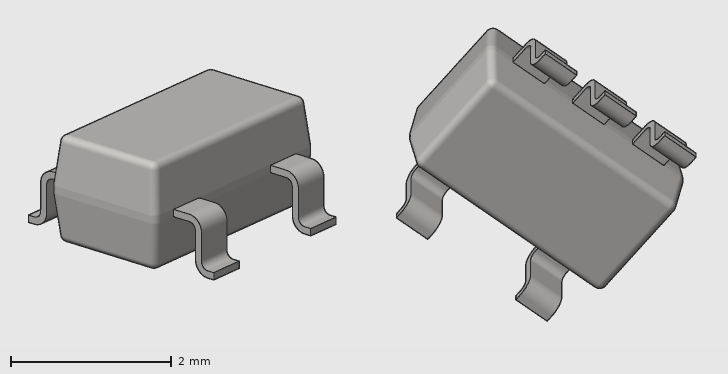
import cadquery as cq
import math

BODY_WIDTH = 1.7
BODY_LENGTH = 3.1
BODY_TOP = 1.45
BODY_BOTTOM = 0.015
DRAFT_ANGLE = 6.1
EDGE_RADIUS = 0.1

LEAD_SPAN = 3.0
LEAD_WIDTH = 0.5
LEAD_PITCH = 0.95
LEAD_THICKNESS = 0.1
FOOT_LENGTH = 0.1
BEND_INNER_RADIUS = 0.1
BEND_OUTER_RADIUS = BEND_INNER_RADIUS + LEAD_THICKNESS

BAND_HEIGHT = 0.105
MID_HEIGHT = (BODY_TOP + BODY_BOTTOM) / 2
BAND_TOP = MID_HEIGHT + BAND_HEIGHT / 2
BAND_BOTTOM = MID_HEIGHT - BAND_HEIGHT / 2

LEAD_TOP = MID_HEIGHT + LEAD_THICKNESS / 2
LEAD_BOTTOM = MID_HEIGHT - LEAD_THICKNESS / 2

LEAD_PLACES = [(-1, -1), (-1, 0), (-1, 1), (1, -1), (1, 1)]


def make_housing():
    """Band with a drafted half above and below it, rounded at the corners, top and bottom."""
    def section(height):
        return cq.Workplane("XY", origin=(0, 0, height)).rect(BODY_WIDTH, BODY_LENGTH)

    band = section(BAND_BOTTOM).extrude(BAND_HEIGHT)
    upper = section(BAND_TOP).extrude(BODY_TOP - BAND_TOP, taper=DRAFT_ANGLE)
    lower = section(BAND_BOTTOM).extrude(BODY_BOTTOM - BAND_BOTTOM, taper=DRAFT_ANGLE)
    block = band.union(upper).union(lower)
    return block.edges("(not #Z) or (<Z or >Z)").fillet(EDGE_RADIUS)


def bend_point(center_x, center_z, radius, x_sign, z_sign):
    """Middle of a quarter-circle bend, used to draw its arc."""
    offset = radius * math.sqrt(0.5)
    return (center_x + x_sign * offset, center_z + z_sign * offset)


def make_lead(side, row):
    """Gull-wing lead starting on the housing wall and ending in a flat foot."""
    root = BODY_WIDTH / 2
    tip = LEAD_SPAN / 2
    foot_center_x = tip - FOOT_LENGTH
    foot_center_z = BEND_OUTER_RADIUS
    shank_inner = foot_center_x - BEND_OUTER_RADIUS
    shank_outer = shank_inner + LEAD_THICKNESS
    shoulder_x = shank_outer - BEND_OUTER_RADIUS
    shoulder_z = LEAD_TOP - BEND_OUTER_RADIUS

    profile = (
        cq.Workplane("XZ")
        .moveTo(root, LEAD_TOP)
        .lineTo(shoulder_x, LEAD_TOP)
        .threePointArc(bend_point(shoulder_x, shoulder_z, BEND_OUTER_RADIUS, 1, 1), (shank_outer, shoulder_z))
        .lineTo(shank_outer, foot_center_z)
        .threePointArc(
            bend_point(foot_center_x, foot_center_z, BEND_INNER_RADIUS, -1, -1),
            (foot_center_x, LEAD_THICKNESS),
        )
        .lineTo(tip, LEAD_THICKNESS)
        .lineTo(tip, 0)
        .lineTo(foot_center_x, 0)
        .threePointArc(
            bend_point(foot_center_x, foot_center_z, BEND_OUTER_RADIUS, -1, -1),
            (shank_inner, foot_center_z),
        )
        .lineTo(shank_inner, shoulder_z)
        .threePointArc(bend_point(shoulder_x, shoulder_z, BEND_INNER_RADIUS, 1, 1), (shoulder_x, LEAD_BOTTOM))
        .lineTo(root, LEAD_BOTTOM)
        .close()
    )
    lead = profile.extrude(LEAD_WIDTH / 2, both=True)
    if side < 0:
        lead = lead.mirror("YZ")
    return lead.translate((0, row * LEAD_PITCH, 0))


housing = make_housing()
leads = [make_lead(side, row) for side, row in LEAD_PLACES]

result = cq.Compound.makeCompound([housing.solids().val(), *[lead.solids().val() for lead in leads]])